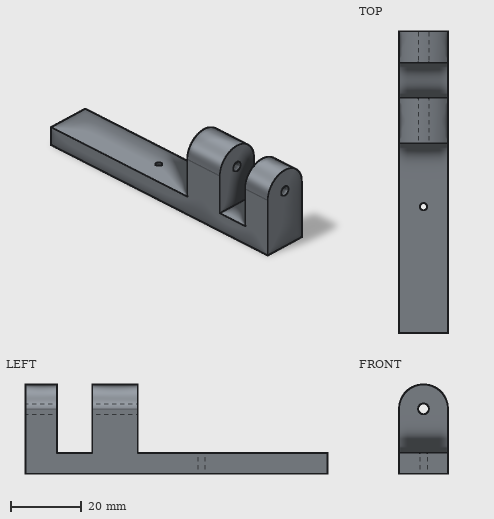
import cadquery as cq

width = 14.0
length = 86.0
base_thickness = 6.0

rear_lug_thickness = 9.0
lug_gap = 10.0
front_lug_thickness = 13.0
lug_radius = width / 2
pin_axis_height = 18.5
pin_hole_diameter = 3.0

base_hole_diameter = 2.0
base_hole_y = 36.0

rear_lug_start = length - rear_lug_thickness
front_lug_start = rear_lug_start - lug_gap - front_lug_thickness


def make_base():
    return cq.Workplane("XY").box(width, length, base_thickness, centered=(True, False, False))


def make_lug(start_y, thickness):
    """Upright lug with a full-round top, running from start_y towards +Y."""
    return (
        cq.Workplane("XZ", origin=(0, start_y, 0))
        .moveTo(-lug_radius, 0)
        .lineTo(lug_radius, 0)
        .lineTo(lug_radius, pin_axis_height)
        .threePointArc((0, pin_axis_height + lug_radius), (-lug_radius, pin_axis_height))
        .close()
        .extrude(-thickness)
    )


def make_pin_hole():
    """Cylinder along Y that passes through both lugs."""
    return (
        cq.Workplane("XZ")
        .center(0, pin_axis_height)
        .circle(pin_hole_diameter / 2)
        .extrude(-length)
    )


def make_base_hole():
    """Vertical cylinder that passes through the bar."""
    return (
        cq.Workplane("XY")
        .center(0, base_hole_y)
        .circle(base_hole_diameter / 2)
        .extrude(base_thickness)
    )


front_lug = make_lug(front_lug_start, front_lug_thickness)
rear_lug = make_lug(rear_lug_start, rear_lug_thickness)
body = make_base().union(front_lug).union(rear_lug)
result = body.cut(make_pin_hole()).cut(make_base_hole())